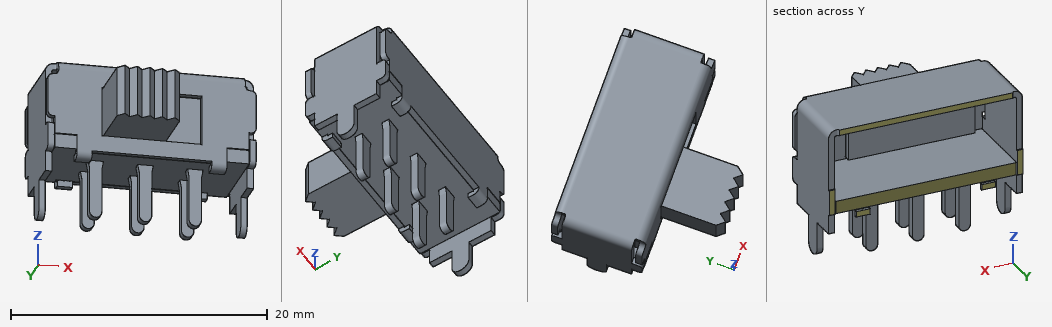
import cadquery as cq


cover_length = 16.7
cover_width = 7.5
cover_top = 7.3
sheet = 0.52
bend_radius = 0.7
corner_radius = 0.4
corner_notch = 0.87
notch_fillet = 0.12
neck_radius = 0.4
skirt_bottom = -0.05

wing_bottom = 2.6
wing_top = 6.11
skirt_half_length = 7.78
lug_notch_top = 1.19
window_length = 8.02
window_bottom = 1.29
window_height = 4.02

lip_outer_x = 6.01
lip_width = 1.22
lip_bend_top = -0.17
lip_reach = 1.0

arm_top = 2.15
end_wall_bottom = -1.69
tongue_width = 1.59
tip_bottom = -4.71

base_end_gap = 0.05
lug_gap = 0.07
pin_pitch = 3.99
pin_row_y = 1.25
pin_width = 1.0
pin_thickness = 0.65
pin_root_width = 1.25
pin_taper_bottom = -0.63

knob_left = -3.9
tooth_count = 5
tooth_pitch = 1.0
tooth_depth = 0.6
knob_reach = 5.13
flange_gap = 0.12
flange_thickness = 0.5
flange_left = -6.85

half_length = cover_length / 2
half_width = cover_width / 2
inner_half_length = half_length - sheet
inner_half_width = half_width - sheet
neck_half_length = half_length - corner_notch
end_half_width = half_width - corner_notch


def folded_channel(plane, span, length):
    """Inverted U of sheet metal, long enough for every feature below it."""
    height = cover_top - tip_bottom
    outer = (
        cq.Workplane(plane)
        .center(0, cover_top - height / 2)
        .rect(span, height)
        .extrude(length / 2, both=True)
    )
    inner = (
        cq.Workplane(plane)
        .center(0, cover_top - sheet - height / 2)
        .rect(span - 2 * sheet, height)
        .extrude(length / 2, both=True)
    )
    fold_axis = "|X" if plane == "YZ" else "|Y"
    outer = outer.edges(f"{fold_axis} and >Z").fillet(bend_radius)
    inner = inner.edges(f"{fold_axis} and >Z").fillet(bend_radius - sheet)
    return outer.cut(inner)


def long_wall_outline():
    """Right half, mirrored: a neck at the fold, wide rounded wings, and a narrower skirt."""
    return (
        cq.Workplane("XZ")
        .moveTo(0, cover_top)
        .lineTo(neck_half_length, cover_top)
        .lineTo(neck_half_length, wing_top + neck_radius)
        .radiusArc((neck_half_length + neck_radius, wing_top), -neck_radius)
        .lineTo(half_length - corner_radius, wing_top)
        .radiusArc((half_length, wing_top - corner_radius), corner_radius)
        .lineTo(half_length, wing_bottom + corner_radius)
        .radiusArc((half_length - corner_radius, wing_bottom), corner_radius)
        .lineTo(skirt_half_length, wing_bottom)
        .lineTo(skirt_half_length, lug_notch_top)
        .lineTo(lip_outer_x, lug_notch_top)
        .lineTo(lip_outer_x, skirt_bottom)
        .lineTo(0, skirt_bottom)
        .mirrorY()
        .extrude(half_width, both=True)
    )


def end_wall_outline():
    """Right half, mirrored: a plain wall, rounded arms beside the base, and a round-ended tongue."""
    tongue_radius = tongue_width / 2
    return (
        cq.Workplane("YZ")
        .moveTo(0, cover_top)
        .lineTo(end_half_width, cover_top)
        .lineTo(end_half_width, arm_top)
        .lineTo(half_width - corner_radius, arm_top)
        .radiusArc((half_width, arm_top - corner_radius), corner_radius)
        .lineTo(half_width, skirt_bottom + corner_radius)
        .radiusArc((half_width - corner_radius, skirt_bottom), corner_radius)
        .lineTo(end_half_width, skirt_bottom)
        .lineTo(end_half_width, end_wall_bottom)
        .lineTo(tongue_radius, end_wall_bottom)
        .lineTo(tongue_radius, tip_bottom + tongue_radius)
        .radiusArc((0, tip_bottom), tongue_radius)
        .mirrorY()
        .extrude(half_length, both=True)
    )


def retaining_lip():
    """Lip at the +X, +Y corner: the wall runs down and folds inward under the base."""
    lip_bottom = lip_bend_top - sheet
    return (
        cq.Workplane("YZ", origin=(lip_outer_x - lip_width, 0, 0))
        .moveTo(inner_half_width, skirt_bottom)
        .lineTo(half_width, skirt_bottom)
        .lineTo(half_width, lip_bend_top)
        .radiusArc((inner_half_width, lip_bottom), sheet)
        .lineTo(half_width - lip_reach, lip_bottom)
        .lineTo(half_width - lip_reach, lip_bend_top)
        .lineTo(inner_half_width, lip_bend_top)
        .close()
        .extrude(lip_width)
    )


def make_cover():
    long_walls = folded_channel("YZ", cover_width, cover_length).intersect(long_wall_outline())
    end_walls = folded_channel("XZ", cover_length, cover_width).intersect(end_wall_outline())
    cover = long_walls.union(end_walls)

    for x in (-neck_half_length, neck_half_length):
        for y in (-end_half_width, end_half_width):
            corner = cq.selectors.BoxSelector(
                (x - notch_fillet, y - notch_fillet, cover_top - sheet),
                (x + notch_fillet, y + notch_fillet, cover_top),
            )
            cover = cover.edges("|Z").edges(corner).fillet(notch_fillet)

    back_lip = retaining_lip()
    right_lips = back_lip.union(back_lip.mirror("XZ"))
    cover = cover.union(right_lips).union(right_lips.mirror("YZ"))

    window = cq.Workplane("XY").box(
        window_length, 2 * sheet, window_height, centered=(True, True, False)
    )
    return cover.cut(window.translate((0, -half_width, window_bottom)))


def make_pin(x, y):
    """Flat pin with a tapered root and a round tip, its top on the underside of the base."""
    pin_radius = pin_width / 2
    return (
        cq.Workplane("XZ")
        .moveTo(0, 0)
        .lineTo(pin_root_width / 2, 0)
        .lineTo(pin_radius, pin_taper_bottom)
        .lineTo(pin_radius, tip_bottom + pin_radius)
        .radiusArc((0, tip_bottom), pin_radius)
        .mirrorY()
        .extrude(pin_thickness / 2, both=True)
        .translate((x, y, 0))
    )


def make_base():
    """Plate between the walls, with a lug in each cover notch and two rows of three pins."""
    thickness = lug_notch_top - lug_gap
    plate_length = 2 * (inner_half_length - base_end_gap)
    base = cq.Workplane("XY").box(
        plate_length, 2 * inner_half_width, thickness, centered=(True, True, False)
    )
    lug_length = plate_length / 2 - lip_outer_x
    for side in (-1, 1):
        lugs = cq.Workplane("XY").box(
            lug_length, cover_width, thickness, centered=(True, True, False)
        )
        base = base.union(lugs.translate((side * (lip_outer_x + lug_length / 2), 0, 0)))
    for y in (-pin_row_y, pin_row_y):
        for x in (-pin_pitch, 0, pin_pitch):
            base = base.union(make_pin(x, y))
    return base


def make_slider():
    """Knob with a row of V-shaped teeth, on a flange that slides behind the window."""
    knob_width = tooth_count * tooth_pitch
    tip_y = -half_width - knob_reach
    root_y = tip_y + tooth_depth
    flange_front = -inner_half_width + flange_gap
    knob = cq.Workplane("XY").moveTo(knob_left, flange_front).lineTo(knob_left, root_y)
    for tooth in range(tooth_count):
        tooth_left = knob_left + tooth * tooth_pitch
        knob = knob.lineTo(tooth_left + tooth_pitch / 2, tip_y)
        knob = knob.lineTo(tooth_left + tooth_pitch, root_y)
    knob = knob.lineTo(knob_left + knob_width, flange_front).close().extrude(window_height)

    flange_length = knob_width + 2 * (knob_left - flange_left)
    flange = cq.Workplane("XY").box(flange_length, flange_thickness, window_height, centered=False)
    flange = flange.translate((flange_left, flange_front, 0))
    return knob.union(flange).translate((0, 0, window_bottom))


cover = make_cover()
base = make_base()
slider = make_slider()

result = cq.Compound.makeCompound([
    cover.solids().val(),
    base.solids().val(),
    slider.solids().val(),
])